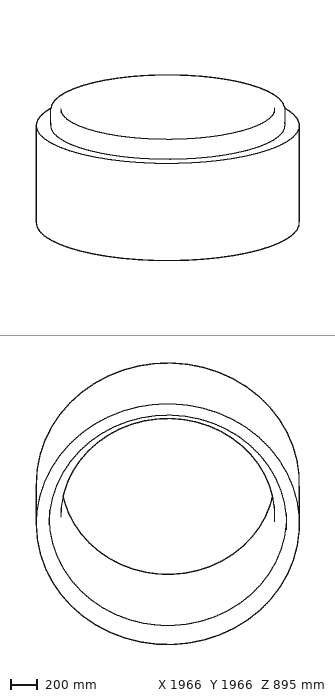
import cadquery as cq

outer_diameter = 1966.0
total_height = 895.0
bore_diameter = 1596.0
edge_radius = 12.0

spigot_diameter = 1750.0
spigot_height = 135.0

socket_clearance = 12.0
socket_diameter = spigot_diameter + 2 * socket_clearance
socket_depth = spigot_height


def disc(diameter, bottom, height):
    """Solid cylinder on the ring axis."""
    return cq.Workplane("XY").workplane(offset=bottom).circle(diameter / 2).extrude(height)


def build_body():
    """Plain cylinder with the narrower spigot on its top face."""
    shoulder_height = total_height - spigot_height
    body = disc(outer_diameter, 0, shoulder_height)
    return body.union(disc(spigot_diameter, shoulder_height, spigot_height))


def hollow_out(body):
    """Through bore, with the socket as a counterbore in the bottom face."""
    bore = disc(bore_diameter, 0, total_height)
    socket = disc(socket_diameter, 0, socket_depth)
    return body.cut(bore).cut(socket)


def round_edges(ring):
    """Round the spigot rims, the lower edge of the bore and the socket mouth."""
    inner_edge = cq.selectors.RadiusNthSelector(0)
    ring = ring.faces(">Z").edges().fillet(edge_radius)
    socket_floor = ring.faces("|Z").faces("<Z[-2]")
    ring = socket_floor.edges(inner_edge).fillet(edge_radius)
    return ring.faces("<Z").edges(inner_edge).fillet(edge_radius)


result = round_edges(hollow_out(build_body()))